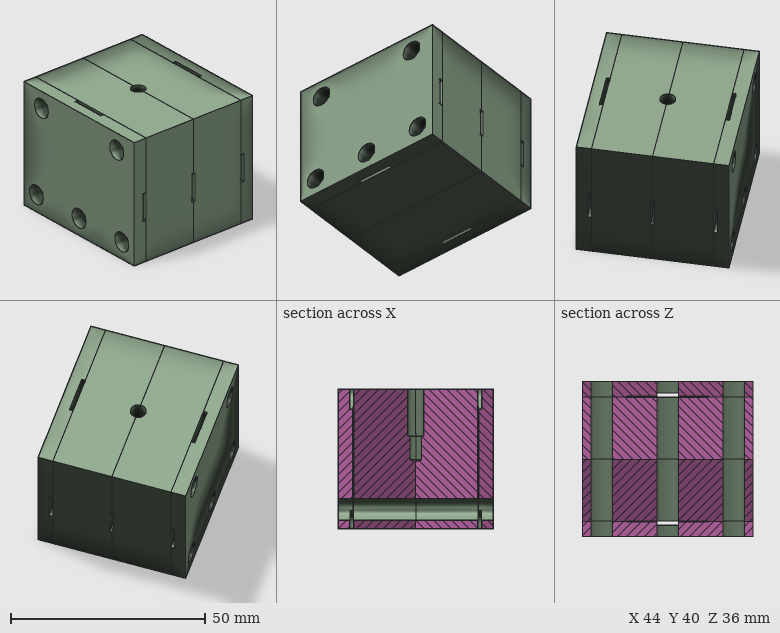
import cadquery as cq

width = 44.0
depth = 40.0
height = 36.0

plate_thickness = 4.0
half_thickness = depth / 2 - plate_thickness

bolt_diameter = 5.5
lower_bolt_z = 5.0
upper_bolt_z = height - lower_bolt_z
lower_bolt_x = 17.0
upper_bolt_x = 15.0
bolt_points = [
    (-lower_bolt_x, lower_bolt_z),
    (0, lower_bolt_z),
    (lower_bolt_x, lower_bolt_z),
    (-upper_bolt_x, upper_bolt_z),
    (upper_bolt_x, upper_bolt_z),
]

end_slot_radius = 5.1
bottom_slot_rise = 0.4
side_slot_radius = 4.05
side_slot_z = 16.0
plate_slot_depth = 1.0
half_slot_depth = plate_slot_depth / 2
side_slot_points = [(-width / 2, side_slot_z), (width / 2, side_slot_z)]
end_slot_points = [(0, bottom_slot_rise), (0, height)]

relief_width = 37.9
relief_height = 27.16
relief_corner = 9.0
relief_depth = 0.2

bore_diameter = 4.0
bore_depth = 12.0
pilot_diameter = 2.9
pilot_depth = 6.0
tip_height_ratio = 0.3


def bolted_slab(start_y, thickness):
    """Full-size slab from start_y towards +Y, drilled for the bolts."""
    slab = cq.Workplane("XY").box(width, thickness, height, centered=(True, False, False))
    holes = (
        cq.Workplane("XZ")
        .pushPoints(bolt_points)
        .circle(bolt_diameter / 2)
        .extrude(-thickness)
    )
    return slab.cut(holes).translate((0, start_y, 0))


def pry_discs(points, radius, joint_y, reach):
    """Discs centred at or near the slab edges, reaching to both sides of a joint face."""
    return (
        cq.Workplane("XZ", origin=(0, joint_y, 0))
        .pushPoints(points)
        .circle(radius)
        .extrude(reach, both=True)
    )


def relief_block(joint_y):
    """Octagonal cutter reaching relief_depth to both sides of a joint face."""
    return (
        cq.Workplane("XY")
        .box(relief_width, 2 * relief_depth, relief_height)
        .edges("|Y")
        .chamfer(relief_corner)
        .translate((0, joint_y, height / 2))
    )


def stepped_bore():
    """Revolved cutter: wide bore, conical shoulder, narrow pilot and conical tip."""
    bore_radius = bore_diameter / 2
    pilot_radius = pilot_diameter / 2
    bore_end_z = height - bore_depth
    shoulder_z = bore_end_z - (bore_radius - pilot_radius) * tip_height_ratio
    pilot_end_z = shoulder_z - pilot_depth
    tip_z = pilot_end_z - pilot_radius * tip_height_ratio
    return (
        cq.Workplane("XZ")
        .moveTo(0, height)
        .lineTo(bore_radius, height)
        .lineTo(bore_radius, bore_end_z)
        .lineTo(pilot_radius, shoulder_z)
        .lineTo(pilot_radius, pilot_end_z)
        .lineTo(0, tip_z)
        .close()
        .revolve(360, (0, 0, 0), (0, 1, 0))
    )


def clamp_plate(start_y, joint_y):
    """Outer plate with pry slots and a relief in its face at joint_y."""
    return (
        bolted_slab(start_y, plate_thickness)
        .cut(pry_discs(side_slot_points, side_slot_radius, joint_y, plate_slot_depth))
        .cut(pry_discs(end_slot_points, end_slot_radius, joint_y, plate_slot_depth))
        .cut(relief_block(joint_y))
    )


def half_block(start_y):
    """Half block with its share of the stepped bore and of the parting-plane pry slots."""
    return (
        bolted_slab(start_y, half_thickness)
        .cut(pry_discs(side_slot_points, side_slot_radius, 0, half_slot_depth))
        .cut(stepped_bore())
    )


plates = [clamp_plate(-depth / 2, -half_thickness), clamp_plate(half_thickness, half_thickness)]
half_blocks = [half_block(start_y) for start_y in (-half_thickness, 0)]

result = cq.Compound.makeCompound([body.val() for body in plates + half_blocks])